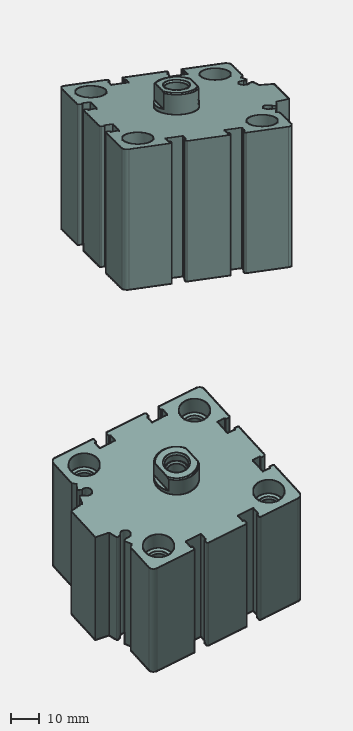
import cadquery as cq
import math

TOTAL_LENGTH = 71.0
HOUSING_WIDTH = 63.5
HOUSING_HEIGHT = 53.0
HALF_WIDTH = HOUSING_WIDTH / 2
RIDGE_Y = TOTAL_LENGTH - HALF_WIDTH
CORNER_RADIUS = 2.0

BULGE_RADIUS = 35.0
BULGE_EDGE_X = 17.2
RIDGE_FOOT_X = 8.4
RIDGE_TOP_X = 7.5

KEYHOLE_ANGLE = 22.2
KEYHOLE_CENTER_RADIUS = 32.0
KEYHOLE_DIAMETER = 3.75
KEYHOLE_MOUTH = 2.7
KEYHOLE_OVERCUT = 0.7
KEYHOLE_LIP_RADIUS = 0.4

SLOT_OFFSET = 11.0
SLOT_MOUTH = 5.2
SLOT_INNER_WIDTH = 6.45
SLOT_LIP = 1.85
SLOT_DEPTH = 5.0
SLOT_LIP_RADIUS = 0.4

THREAD_DIAMETER = 8.0
THREAD_CORE_DIAMETER = 6.7

MOUNT_OFFSET = 23.2
MOUNT_DIAMETER = THREAD_CORE_DIAMETER
MOUNT_CHAMFER_DIAMETER = THREAD_DIAMETER
COUNTERBORE_DIAMETER = 11.0
COUNTERBORE_DEPTH = 7.0

ROD_DIAMETER = 16.0
ROD_TOP_Z = 61.0
ROD_SEAT_DEPTH = 16.0
ROD_CHAMFER = 0.5
FLAT_WIDTH = 13.0
FLAT_START = 1.5

MOUTH_DIAMETER = 9.5
MOUTH_DEPTH = 0.7
RECESS_DIAMETER = 8.4
RECESS_DEPTH = 3.55
DRILL_DIAMETER = THREAD_CORE_DIAMETER
DRILL_LEAD_DIAMETER = THREAD_DIAMETER
DRILL_DEPTH = 12.0
DRILL_TIP_ANGLE = 118.0


def bulge_y(x):
    """Y of the round bulge at a given x."""
    return math.sqrt(BULGE_RADIUS**2 - x**2)


def round_vertical_edges(body, points, radius):
    """Fillet the vertical edges of a body that pass through the given XY points."""
    reach = 0.1
    for x, y in points:
        box = cq.selectors.BoxSelector(
            (x - reach, y - reach, 0), (x + reach, y + reach, HOUSING_HEIGHT)
        )
        body = body.edges("|Z").edges(box).fillet(radius)
    return body


def turned(x, y, angle):
    """The XY point turned about Z by an angle in degrees."""
    cosine = math.cos(math.radians(angle))
    sine = math.sin(math.radians(angle))
    return (x * cosine - y * sine, x * sine + y * cosine)


def outline_body():
    """Square profile with the rear bulge and ridge, without slots or holes."""
    edge_y = bulge_y(BULGE_EDGE_X)
    foot_y = bulge_y(RIDGE_FOOT_X)
    mid_x = (BULGE_EDGE_X + RIDGE_FOOT_X) / 2
    mid_y = bulge_y(mid_x)
    bevel_x = BULGE_EDGE_X + HALF_WIDTH - edge_y
    body = (
        cq.Workplane("XY")
        .moveTo(-HALF_WIDTH, -HALF_WIDTH)
        .lineTo(-HALF_WIDTH, HALF_WIDTH)
        .lineTo(-bevel_x, HALF_WIDTH)
        .lineTo(-BULGE_EDGE_X, edge_y)
        .threePointArc((-mid_x, mid_y), (-RIDGE_FOOT_X, foot_y))
        .lineTo(-RIDGE_TOP_X, RIDGE_Y)
        .lineTo(RIDGE_TOP_X, RIDGE_Y)
        .lineTo(RIDGE_FOOT_X, foot_y)
        .threePointArc((mid_x, mid_y), (BULGE_EDGE_X, edge_y))
        .lineTo(bevel_x, HALF_WIDTH)
        .lineTo(HALF_WIDTH, HALF_WIDTH)
        .lineTo(HALF_WIDTH, -HALF_WIDTH)
        .close()
        .extrude(HOUSING_HEIGHT)
    )
    corners = [(x, y) for x in (-HALF_WIDTH, HALF_WIDTH) for y in (-HALF_WIDTH, HALF_WIDTH)]
    return round_vertical_edges(body, corners, CORNER_RADIUS)


def t_slot(offset, face_angle):
    """Cutter for a T-slot in the front face, turned about Z to another face."""
    mouth = (
        cq.Workplane("XY")
        .center(offset, -HALF_WIDTH + SLOT_DEPTH / 2)
        .rect(SLOT_MOUTH, SLOT_DEPTH)
        .extrude(HOUSING_HEIGHT)
    )
    inner_depth = SLOT_DEPTH - SLOT_LIP
    inner = (
        cq.Workplane("XY")
        .center(offset, -HALF_WIDTH + SLOT_LIP + inner_depth / 2)
        .rect(SLOT_INNER_WIDTH, inner_depth)
        .extrude(HOUSING_HEIGHT)
    )
    return mouth.union(inner).rotate((0, 0, 0), (0, 0, 1), face_angle)


def keyhole_slot(angle):
    """Cutter for a round sensor slot with a narrower mouth, turned from +Y by an angle."""
    mouth_length = BULGE_RADIUS - KEYHOLE_CENTER_RADIUS + KEYHOLE_OVERCUT
    round_part = (
        cq.Workplane("XY")
        .center(0, KEYHOLE_CENTER_RADIUS)
        .circle(KEYHOLE_DIAMETER / 2)
        .extrude(HOUSING_HEIGHT)
    )
    mouth = (
        cq.Workplane("XY")
        .center(0, KEYHOLE_CENTER_RADIUS + mouth_length / 2)
        .rect(KEYHOLE_MOUTH, mouth_length)
        .extrude(HOUSING_HEIGHT)
    )
    return round_part.union(mouth).rotate((0, 0, 0), (0, 0, 1), angle)


def mount_hole(x, y):
    """Cutter for a counterbored through hole with a 45 degree lead-in below the counterbore."""
    radius = MOUNT_DIAMETER / 2
    lead_radius = MOUNT_CHAMFER_DIAMETER / 2
    floor_z = HOUSING_HEIGHT - COUNTERBORE_DEPTH
    return (
        cq.Workplane("XZ")
        .polyline(
            [
                (0, 0),
                (radius, 0),
                (radius, floor_z - (lead_radius - radius)),
                (lead_radius, floor_z),
                (COUNTERBORE_DIAMETER / 2, floor_z),
                (COUNTERBORE_DIAMETER / 2, HOUSING_HEIGHT),
                (0, HOUSING_HEIGHT),
            ]
        )
        .close()
        .revolve(360, (0, 0), (0, 1))
        .translate((x, y, 0))
    )


def rod_blank():
    """Plain rod cylinder, which also sizes its seat in the housing."""
    seat_z = HOUSING_HEIGHT - ROD_SEAT_DEPTH
    return (
        cq.Workplane("XY")
        .workplane(offset=seat_z)
        .circle(ROD_DIAMETER / 2)
        .extrude(ROD_TOP_Z - seat_z)
    )


def rod_hole():
    """Cutter for the stepped, drilled hole in the rod end."""
    drill_radius = DRILL_DIAMETER / 2
    lead_radius = DRILL_LEAD_DIAMETER / 2
    lead_depth = lead_radius - drill_radius
    tip_length = drill_radius / math.tan(math.radians(DRILL_TIP_ANGLE / 2))
    return (
        cq.Workplane("XZ")
        .polyline(
            [
                (0, ROD_TOP_Z),
                (MOUTH_DIAMETER / 2, ROD_TOP_Z),
                (RECESS_DIAMETER / 2, ROD_TOP_Z - MOUTH_DEPTH),
                (RECESS_DIAMETER / 2, ROD_TOP_Z - RECESS_DEPTH),
                (lead_radius, ROD_TOP_Z - RECESS_DEPTH),
                (drill_radius, ROD_TOP_Z - RECESS_DEPTH - lead_depth),
                (drill_radius, ROD_TOP_Z - DRILL_DEPTH),
                (0, ROD_TOP_Z - DRILL_DEPTH - tip_length),
            ]
        )
        .close()
        .revolve(360, (0, 0), (0, 1))
    )


def make_housing():
    housing = outline_body()
    for face_angle in (-90, 0, 90):
        for offset in (-SLOT_OFFSET, SLOT_OFFSET):
            housing = housing.cut(t_slot(offset, face_angle))
            lips = [
                turned(offset + side * SLOT_MOUTH / 2, -HALF_WIDTH, face_angle) for side in (-1, 1)
            ]
            housing = round_vertical_edges(housing, lips, SLOT_LIP_RADIUS)
    for angle in (-KEYHOLE_ANGLE, KEYHOLE_ANGLE):
        housing = housing.cut(keyhole_slot(angle))
        lip_x = KEYHOLE_MOUTH / 2
        lips = [turned(side * lip_x, bulge_y(lip_x), angle) for side in (-1, 1)]
        housing = round_vertical_edges(housing, lips, KEYHOLE_LIP_RADIUS)
    for x in (-MOUNT_OFFSET, MOUNT_OFFSET):
        for y in (-MOUNT_OFFSET, MOUNT_OFFSET):
            housing = housing.cut(mount_hole(x, y))
    return housing.cut(rod_blank())


def make_rod():
    rod = rod_blank().faces(">Z").edges().chamfer(ROD_CHAMFER)
    flat_height = ROD_TOP_Z - HOUSING_HEIGHT - FLAT_START
    cut_depth = (ROD_DIAMETER - FLAT_WIDTH) / 2
    for side in (-1, 1):
        flat = (
            cq.Workplane("XY")
            .workplane(offset=HOUSING_HEIGHT + FLAT_START)
            .center(0, side * (FLAT_WIDTH + cut_depth) / 2)
            .rect(ROD_DIAMETER, cut_depth)
            .extrude(flat_height)
        )
        rod = rod.cut(flat)
    return rod.cut(rod_hole())


housing = make_housing()
piston_rod = make_rod()

result = cq.Compound.makeCompound([housing.val(), piston_rod.val()])